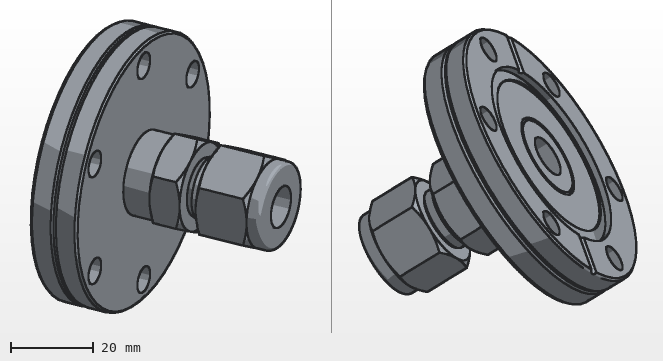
import cadquery as cq
import math

flange_radius = 34.95
flange_thickness = 12.8
rim_chamfer_length = 0.6
rim_chamfer_height = 0.5

rim_groove_start = 5.65
rim_groove_bottom = 6.3
rim_groove_end = 7.1
rim_groove_depth = 0.3

recess_radius = 24.2
recess_depth = 1.75
knife_radius = 21.0
knife_tip_depth = 0.7
knife_inner_radius = 20.9
floor_depth = 1.1

bolt_count = 6
bolt_circle_radius = 29.4
bolt_hole_diameter = 6.65
leak_groove_width = 2.25
leak_groove_depth = 0.6
leak_groove_tilt = 30.0

bore_radius = 5.25
tube_radius = 10.7
tube_end_chamfer = 0.7
body_hex_start = 20.1
body_hex_end = 28.4
neck_root_radius = 7.35
neck_radius = 8.0
neck_cone_end = 30.0
neck_cylinder_end = 32.3
neck_tip_radius = 7.7
hex_across_flats = 22.2
nut_start = 32.7
nut_end = 46.6
collar_radius = hex_across_flats / 2
collar_fillet = 1.05
fitting_end = 50.2

hex_corner_radius = hex_across_flats / math.sqrt(3)
hex_chamfer_length = (hex_corner_radius - hex_across_flats / 2) * math.tan(math.radians(30))


def turned(outline):
    """Solid of revolution about X from (x, radius) points."""
    return cq.Workplane("XZ").polyline(outline).close().revolve(360, (0, 0, 0), (1, 0, 0))


def leak_grooves():
    """Round-bottomed groove straight across the sealing face, along a tilted diameter."""
    radius = (leak_groove_width**2 / 4 + leak_groove_depth**2) / (2 * leak_groove_depth)
    return (
        cq.Workplane("XY")
        .center(leak_groove_depth - radius, 0)
        .circle(radius)
        .extrude(flange_radius, both=True)
        .rotate((0, 0, 0), (1, 0, 0), -leak_groove_tilt)
    )


def make_flange():
    chamfer_radius = flange_radius - rim_chamfer_height
    flange = turned([
        (floor_depth, tube_radius),
        (floor_depth, knife_inner_radius),
        (knife_tip_depth, knife_radius),
        (recess_depth, recess_radius),
        (0, recess_radius),
        (0, chamfer_radius),
        (rim_chamfer_length, flange_radius),
        (rim_groove_start, flange_radius),
        (rim_groove_bottom, flange_radius - rim_groove_depth),
        (rim_groove_end, flange_radius),
        (flange_thickness - rim_chamfer_length, flange_radius),
        (flange_thickness, chamfer_radius),
        (flange_thickness, tube_radius),
    ])
    bolt_holes = (
        cq.Workplane("YZ")
        .polarArray(bolt_circle_radius, 90, 360, bolt_count)
        .circle(bolt_hole_diameter / 2)
        .extrude(flange_thickness)
    )
    inner_disc = cq.Workplane("YZ").circle(recess_radius).extrude(flange_thickness)
    return flange.cut(bolt_holes).cut(leak_grooves().cut(inner_disc))


def hex_section(start, end):
    """Hexagon along X with corners at +Z and -Z, both ends chamfered at the corners."""
    prism = (
        cq.Workplane("YZ", origin=(start, 0, 0))
        .polygon(6, 2 * hex_corner_radius)
        .extrude(end - start)
        .rotate((0, 0, 0), (1, 0, 0), 90)
    )
    face_radius = hex_across_flats / 2
    envelope = turned([
        (start, 0),
        (start, face_radius),
        (start + hex_chamfer_length, hex_corner_radius),
        (end - hex_chamfer_length, hex_corner_radius),
        (end, face_radius),
        (end, 0),
    ])
    return prism.intersect(envelope)


def make_fitting():
    core = turned([
        (floor_depth, 0),
        (floor_depth, tube_radius - tube_end_chamfer),
        (floor_depth + tube_end_chamfer, tube_radius),
        (body_hex_start, tube_radius),
        (body_hex_end, tube_radius),
        (body_hex_end, neck_root_radius),
        (neck_cone_end, neck_radius),
        (neck_cylinder_end, neck_radius),
        (nut_start, neck_tip_radius),
        (nut_start, collar_radius),
        (fitting_end, collar_radius),
        (fitting_end, 0),
    ]).faces(">X").edges().fillet(collar_fillet)
    body_hex = hex_section(body_hex_start, body_hex_end)
    nut_hex = hex_section(nut_start, nut_end)
    bore = cq.Workplane("YZ").circle(bore_radius).extrude(fitting_end)
    return core.union(body_hex).union(nut_hex).cut(bore)


flange = make_flange()
fitting = make_fitting()

result = cq.Compound.makeCompound([flange.val(), fitting.val()])